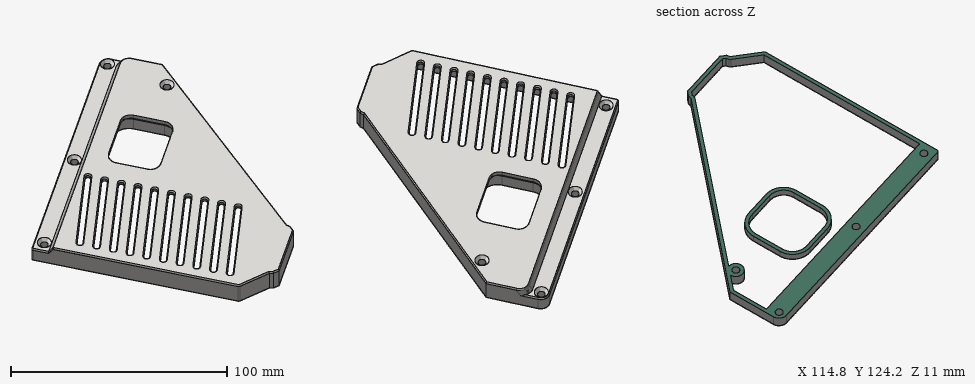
import cadquery as cq
import math

length_x = 114.82
width_y = 124.2
height = 11.0

ledge_height = 7.65
ramp_foot_x = 8.2
ramp_top_x = 9.8

bevel_inset = 0.5
bevel_angle = 30.0
bevel_height = bevel_inset / math.tan(math.radians(bevel_angle))

top_side_end_x = 29.3
bottom_side_end_x = 99.5
nose_middle_y = 27.2
nose_root_x = 110.8
nose_root_half_width = 15.5
nose_shoulder_x = 112.65
nose_shoulder_half_width = 15.0
nose_tip_half_width = 12.8
large_corner_radius = 4.3
small_corner_radius = 1.0
bottom_corner_radius = 1.4

cover_thickness = 2.25
wall_thickness = 2.0

screw_diameter = 3.5
head_diameter = 6.5
boss_diameter = head_diameter + 1.5
head_angle = 90.0
ledge_screws = [(3.9, 120.3), (4.8, 58.6), (4.8, 5.3)]
cover_screw = (34.7, 112.0)

window_size = (25.0, 30.7)
window_center = (32.2, 74.4)
window_radius = 5.0
collar_radius = 8.0
collar_inset_y = 0.5
collar_outset_x = collar_radius - window_radius
collar_opening_x = window_size[0] + 2 * collar_outset_x
collar_opening_y = window_size[1] - 2 * collar_inset_y
collar_wall = 2.0
collar_bottom = 2.0

slot_count = 10
slot_pitch = 8.0
slot_width = 2.7
slot_upper_end = (14.3, 47.3)
slot_lower_end = (21.4, 6.8)


def outline_points(left_x):
    """Plan outline of the part, starting at the given left side."""
    nose_lower_half = [
        (nose_root_x, nose_middle_y - nose_root_half_width),
        (nose_shoulder_x, nose_middle_y - nose_shoulder_half_width),
        (length_x, nose_middle_y - nose_tip_half_width),
    ]
    nose_upper_half = [(x, 2 * nose_middle_y - y) for x, y in reversed(nose_lower_half)]
    return [
        (left_x, 0),
        (bottom_side_end_x, 0),
        *nose_lower_half,
        *nose_upper_half,
        (top_side_end_x, width_y),
        (left_x, width_y),
    ]


def prism(left_x, top):
    """Outline prism with its lower right corner rounded."""
    body = cq.Workplane("XY").polyline(outline_points(left_x)).close().extrude(top)
    corner = cq.selectors.NearestToPointSelector((bottom_side_end_x, 0, top / 2))
    return body.edges(corner).fillet(bottom_corner_radius)


def add_bevel(body):
    """Continue the top face upward by one bevel height, leaning inward."""
    cap = body.faces(">Z").wires().toPending().extrude(bevel_height, combine=False, taper=bevel_angle)
    return body.union(cap)


def ledge_body():
    body = prism(0, ledge_height - bevel_height)
    body = body.edges("|Z and <X and >Y").fillet(large_corner_radius)
    body = body.edges("|Z and <X and <Y").fillet(small_corner_radius)
    return add_bevel(body)


def raised_body():
    top = height - bevel_height
    body = prism(ramp_foot_x, top)
    ramp_waste = (
        cq.Workplane("XZ")
        .polyline([(ramp_foot_x, ledge_height), (ramp_top_x, top), (ramp_foot_x, top)])
        .close()
        .extrude(-width_y)
    )
    body = body.cut(ramp_waste)
    middle_x = (ramp_foot_x + ramp_top_x) / 2
    middle_z = (ledge_height + top) / 2
    back_end = cq.selectors.NearestToPointSelector((middle_x, width_y, middle_z))
    front_end = cq.selectors.NearestToPointSelector((middle_x, 0, middle_z))
    body = body.edges(back_end).fillet(large_corner_radius)
    body = body.edges(front_end).chamfer(bevel_inset)
    return add_bevel(body)


def window_block(size_x, size_y, radius, bottom, top):
    return (
        cq.Workplane("XY", origin=(*window_center, bottom))
        .rect(size_x, size_y)
        .extrude(top - bottom)
        .edges("|Z")
        .fillet(radius)
    )


def cavity():
    """Space below the cover, leaving side walls, a screw boss and the window collar."""
    depth = height - cover_thickness
    space = (
        cq.Workplane("XY")
        .polyline(outline_points(ramp_top_x - wall_thickness))
        .close()
        .offset2D(-wall_thickness)
        .extrude(depth)
    )
    boss = cq.Workplane("XY").center(*cover_screw).circle(boss_diameter / 2).extrude(depth)
    collar = window_block(
        collar_opening_x + 2 * collar_wall,
        collar_opening_y + 2 * collar_wall,
        collar_radius + collar_wall,
        collar_bottom,
        depth,
    )
    return space.cut(boss).cut(collar)


def cut_window(body):
    cover_bottom = height - cover_thickness
    upper = window_block(*window_size, window_radius, cover_bottom, height)
    lower = window_block(collar_opening_x, collar_opening_y, collar_radius, 0, cover_bottom)
    return body.cut(upper).cut(lower)


def cut_screws(body, centers, top):
    return (
        body.copyWorkplane(cq.Workplane("XY", origin=(0, 0, top)))
        .pushPoints(centers)
        .cskHole(screw_diameter, head_diameter, head_angle)
    )


def cut_slots(body):
    run_x = slot_lower_end[0] - slot_upper_end[0]
    run_y = slot_lower_end[1] - slot_upper_end[1]
    span = math.hypot(run_x, run_y)
    angle = math.degrees(math.atan2(run_y, run_x))
    middle_x = (slot_upper_end[0] + slot_lower_end[0]) / 2
    middle_y = (slot_upper_end[1] + slot_lower_end[1]) / 2
    centers = [(middle_x + i * slot_pitch, middle_y) for i in range(slot_count)]
    slots = (
        cq.Workplane("XY", origin=(0, 0, height - cover_thickness))
        .pushPoints(centers)
        .slot2D(span + slot_width, slot_width, angle)
        .extrude(cover_thickness)
    )
    body = body.cut(slots)
    bevels = (
        cq.Workplane("XY", origin=(0, 0, height))
        .pushPoints(centers)
        .slot2D(span + slot_width + 2 * bevel_inset, slot_width + 2 * bevel_inset, angle)
        .extrude(-bevel_height, taper=bevel_angle)
    )
    return body.cut(bevels)


result = ledge_body().union(raised_body()).cut(cavity())
result = cut_window(result)
result = cut_screws(result, ledge_screws, ledge_height)
result = cut_screws(result, [cover_screw], height)
result = cut_slots(result)